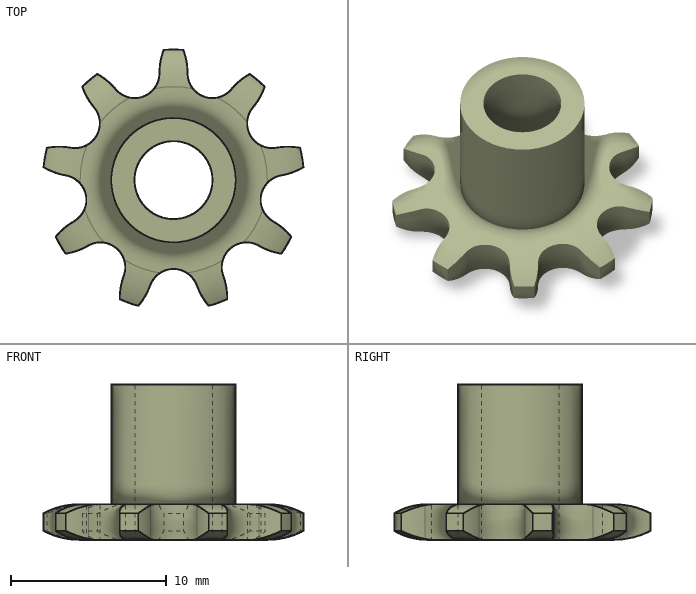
import cadquery as cq
import math

tooth_count = 9
overall_width = 16.72
pitch_radius = 7.3
seat_radius = 1.59
tip_half_width = 0.64
wheel_thickness = 2.3
tip_thickness = 1.12
face_radius = 6.02
hub_diameter = 8.0
bore_diameter = 5.0
total_height = 10.0

tooth_pitch = 360 / tooth_count
first_tooth_angle = 90

lean = math.radians(tooth_pitch / 4)
tip_corner_x = (overall_width / 2 - tip_half_width * math.sin(lean)) / math.cos(lean)
tip_radius = math.hypot(tip_corner_x, tip_half_width)


def rotated(point, angle):
    """Turn a point about the wheel axis by an angle in degrees."""
    x, y = point
    c = math.cos(math.radians(angle))
    s = math.sin(math.radians(angle))
    return (c * x - s * y, s * x + c * y)


def mirrored(point):
    """Reflect a point across the centreline of the tooth lying along +X."""
    return (point[0], -point[1])


def tooth_outline():
    """Closed outline of all teeth, made of flank, tip and roller seat arcs."""
    seat_x, seat_y = rotated((pitch_radius, 0), tooth_pitch / 2)
    root_point = rotated((pitch_radius - seat_radius, 0), tooth_pitch / 2)

    flank_start = (seat_x, seat_y - seat_radius)
    flank_end = (tip_corner_x, tip_half_width)
    run = flank_end[0] - flank_start[0]
    drop = flank_start[1] - flank_end[1]
    flank_radius = (run**2 + drop**2) / (2 * drop)
    half_sweep = math.atan2(drop, run)
    flank_middle = (
        flank_start[0] + flank_radius * math.sin(half_sweep),
        flank_start[1] - flank_radius * (1 - math.cos(half_sweep)),
    )

    arcs = [
        (mirrored(flank_middle), mirrored(flank_end)),
        ((tip_radius, 0), flank_end),
        (flank_middle, flank_start),
        (root_point, rotated(mirrored(flank_start), tooth_pitch)),
    ]
    outline = cq.Workplane("XY").moveTo(*rotated(mirrored(flank_start), first_tooth_angle))
    for tooth in range(tooth_count):
        angle = first_tooth_angle + tooth * tooth_pitch
        for middle, end in arcs:
            outline = outline.threePointArc(rotated(middle, angle), rotated(end, angle))
    return outline.close()


def wheel_blank():
    """Disc whose faces curve in tangentially towards the tooth tips."""
    tip_bottom = (wheel_thickness - tip_thickness) / 2
    tip_top = wheel_thickness - tip_bottom
    rim_width = tip_radius - face_radius
    rim_radius = (rim_width**2 + tip_bottom**2) / (2 * tip_bottom)
    half_sweep = math.atan2(tip_bottom, rim_width)
    arc_x = face_radius + rim_radius * math.sin(half_sweep)
    arc_drop = rim_radius * (1 - math.cos(half_sweep))
    return (
        cq.Workplane("XZ")
        .lineTo(face_radius, 0)
        .threePointArc((arc_x, arc_drop), (tip_radius, tip_bottom))
        .lineTo(tip_radius, tip_top)
        .threePointArc((arc_x, wheel_thickness - arc_drop), (face_radius, wheel_thickness))
        .lineTo(0, wheel_thickness)
        .close()
        .revolve(360, (0, 0, 0), (0, 1, 0))
    )


wheel = tooth_outline().extrude(wheel_thickness).intersect(wheel_blank())
hub = cq.Workplane("XY").circle(hub_diameter / 2).extrude(total_height)
bore = cq.Workplane("XY").circle(bore_diameter / 2).extrude(total_height)

result = wheel.union(hub).cut(bore)